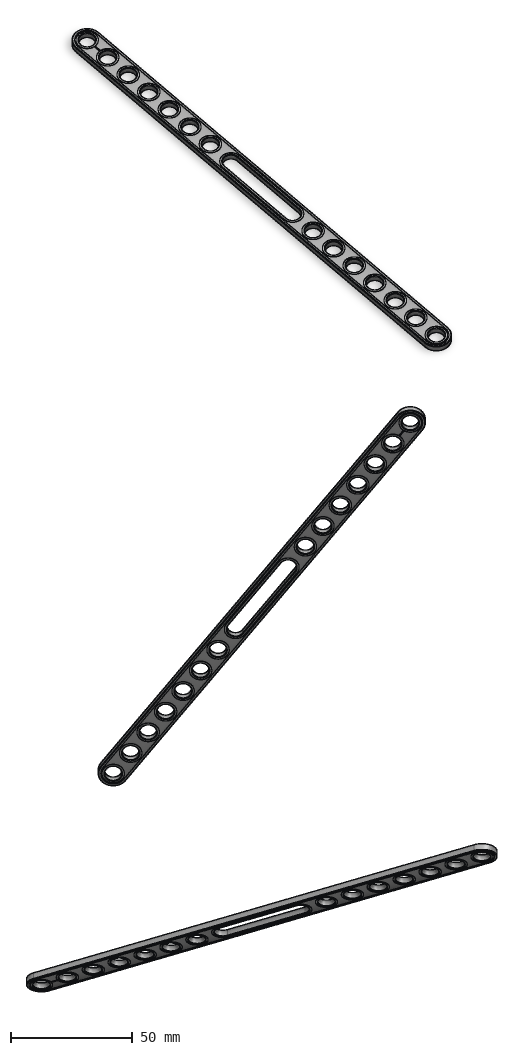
import cadquery as cq

length = 225.0
pitch_count = 18
thickness = 3.2
hole_diameter = 7.0
holes_per_end = 7
slot_pitches = 3
edge_chamfer = 0.32
lip_width = 1.1
recess_depth = 0.2
rib_width = 0.5

pitch = length / pitch_count
width = pitch
slot_length = slot_pitches * pitch + hole_diameter
first_hole_x = (width - length) / 2
rib_x = first_hole_x + pitch / 2
core_thickness = thickness - 2 * recess_depth


def hole_centres():
    """Centres of the holes at both ends of the bar, mirrored about its middle."""
    left_end = [first_hole_x + i * pitch for i in range(holes_per_end)]
    return [(side * x, 0) for x in left_end for side in (-1, 1)]


def perforated_plate(inset):
    """Full-thickness plate with holes and slot, all its edges drawn back by the inset."""
    half = thickness / 2
    outline = cq.Workplane("XY").slot2D(length - 2 * inset, width - 2 * inset).extrude(half, both=True)
    holes = (
        cq.Workplane("XY")
        .pushPoints(hole_centres())
        .circle(hole_diameter / 2 + inset)
        .extrude(half, both=True)
    )
    slot = (
        cq.Workplane("XY")
        .slot2D(slot_length + 2 * inset, hole_diameter + 2 * inset)
        .extrude(half, both=True)
    )
    return outline.cut(holes).cut(slot)


def make_recesses():
    """Panels removed from both faces, leaving the core and the rib between the first two holes."""
    core = cq.Workplane("XY").box(length, width, core_thickness)
    rib = cq.Workplane("XY").box(pitch, rib_width, thickness).translate((rib_x, 0, 0))
    return perforated_plate(lip_width).cut(core).cut(rib)


bar = perforated_plate(0).faces("|Z").edges().chamfer(edge_chamfer)
result = bar.cut(make_recesses())